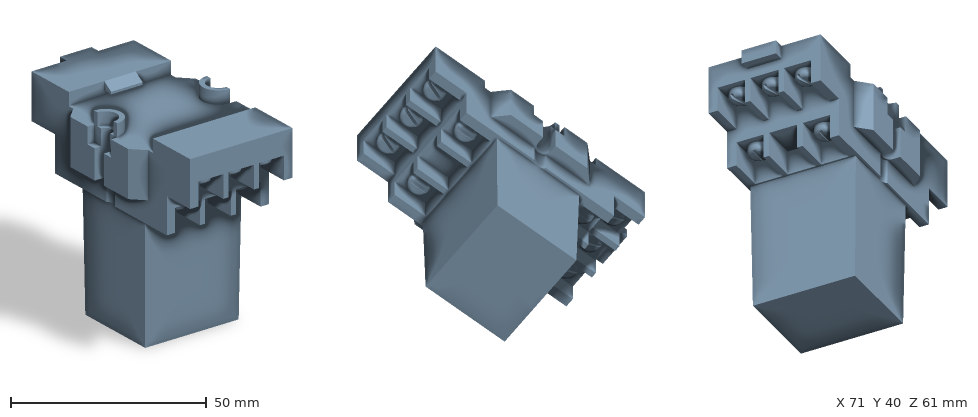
import cadquery as cq

overall_length = 71.0
overall_height = 61.0

body_width = 32.6
wing_half_length = 34.0
wing_bottom = -14.0
base_half_length = 24.0
base_bottom = -25.0
deck_half_length = 18.0
deck_z = -4.0

flange_half_length = 16.05
flange_width = 40.0
flange_chamfer = 3.6
flange_bottom = -18.0

mount_y = 17.95
collar_radius = 5.0
bore_radius = 3.5
slot_radius = 2.0
notch_bottom = -9.0
groove_width = 3.7
groove_depth = 0.85

tab_width = 10.0
tab_thickness = 4.0
catch_length = 3.0
catch_tip_top = -1.9
catch_bottom = -2.6

housing_top_length = 26.7
housing_top_width = 30.75
housing_bottom_length = 25.7
housing_bottom_width = 29.75

pocket_depth = wing_half_length - base_half_length
pocket_height = 6.95
pocket_pitch = 9.65
middle_pocket_width = 8.2
outer_pocket_width = 7.9

screw_radius = 3.05
screw_height = 2.5
screw_rounding = 1.0
screw_slot_width = 1.0
wing_slot_depth = 1.0
wing_slot_angle = -20
base_slot_depth = 0.3


def block(x_min, x_max, width, z_min, z_max, y_center=0.0):
    """Box between two X and two Z limits, centred on y_center."""
    size = (x_max - x_min, width, z_max - z_min)
    return cq.Workplane("XY").box(*size, centered=(False, True, False)).translate((x_min, y_center, z_min))


def cylinder(radius, y, z_min, z_max):
    """Upright cylinder on the plane X = 0."""
    return cq.Workplane("XY", origin=(0, y, z_min)).circle(radius).extrude(z_max - z_min)


def make_body():
    base = block(-base_half_length, base_half_length, body_width, base_bottom, deck_z)
    wings = block(-wing_half_length, wing_half_length, body_width, wing_bottom, 0)
    deck_gap = block(-deck_half_length, deck_half_length, body_width, deck_z, 0)
    flange = block(-flange_half_length, flange_half_length, flange_width, flange_bottom, deck_z)
    flange = flange.edges("|Z").chamfer(flange_chamfer)
    return base.union(wings).cut(deck_gap).union(flange)


def make_housing():
    bottom = -overall_height
    return (
        cq.Workplane("XY", origin=(0, 0, bottom))
        .rect(housing_bottom_length, housing_bottom_width)
        .workplane(offset=base_bottom - bottom)
        .rect(housing_top_length, housing_top_width)
        .loft()
    )


def make_tab():
    tab_start = wing_half_length - overall_length
    return block(tab_start, -wing_half_length, tab_width, -tab_thickness, 0)


def make_catch():
    root = -deck_half_length
    tip = root + catch_length
    profile = [(root, 0), (tip, catch_tip_top), (tip, catch_bottom), (root, catch_bottom)]
    return cq.Workplane("XZ").polyline(profile).close().extrude(tab_width / 2, both=True)


def add_mount(part):
    """Half-round collar, bore and open slot on the +Y side."""
    cut_y = mount_y + collar_radius / 2
    notch = block(-collar_radius, collar_radius, collar_radius, notch_bottom, 0, cut_y)
    slot = block(-slot_radius, slot_radius, collar_radius, flange_bottom, 0, cut_y)
    slot = slot.union(cylinder(slot_radius, mount_y, flange_bottom, 0))
    part = part.union(cylinder(collar_radius, mount_y, deck_z, 0))
    part = part.cut(notch).cut(cylinder(bore_radius, mount_y, deck_z, 0)).cut(slot)

    side_y = body_width / 2
    groove = (
        cq.Workplane("XY", origin=(0, 0, base_bottom))
        .moveTo(-groove_width / 2, side_y)
        .threePointArc((0, side_y - groove_depth), (groove_width / 2, side_y))
        .close()
        .extrude(flange_bottom - base_bottom)
    )
    return part.cut(groove)


def make_screw(slot_depth, slot_angle):
    """Round screw head pointing down, its top face at the origin."""
    head = cq.Workplane("XY").circle(screw_radius).extrude(-screw_height)
    head = head.faces("<Z").edges().fillet(screw_rounding)
    slot = block(-screw_radius, screw_radius, screw_slot_width, -screw_height, slot_depth - screw_height)
    return head.cut(slot.rotate((0, 0, 0), (0, 0, 1), slot_angle))


def make_terminals():
    """Pockets and screws of the -X end, as two separate shapes."""
    wing_screw = make_screw(wing_slot_depth, wing_slot_angle)
    base_screw = make_screw(base_slot_depth, 0)
    tiers = [
        (-wing_half_length, wing_bottom, wing_screw, (-1, 0, 1)),
        (-base_half_length, base_bottom, base_screw, (-1, 1)),
    ]
    pockets = cq.Workplane("XY")
    screws = cq.Workplane("XY")
    for face_x, floor, screw, screw_columns in tiers:
        ceiling = floor + pocket_height
        for column in (-1, 0, 1):
            y = column * pocket_pitch
            width = outer_pocket_width if column else middle_pocket_width
            pockets = pockets.union(block(face_x, face_x + pocket_depth, width, floor, ceiling, y))
            if column in screw_columns:
                screws = screws.union(screw.translate((face_x + pocket_depth / 2, y, ceiling)))
    return pockets, screws


body = add_mount(make_body())
body = add_mount(body.mirror("XZ")).mirror("XZ")

pockets, screws = make_terminals()
body = body.cut(pockets).cut(pockets.mirror("YZ"))
body = body.union(screws).union(screws.mirror("YZ"))

result = body.union(make_housing()).union(make_tab()).union(make_catch())